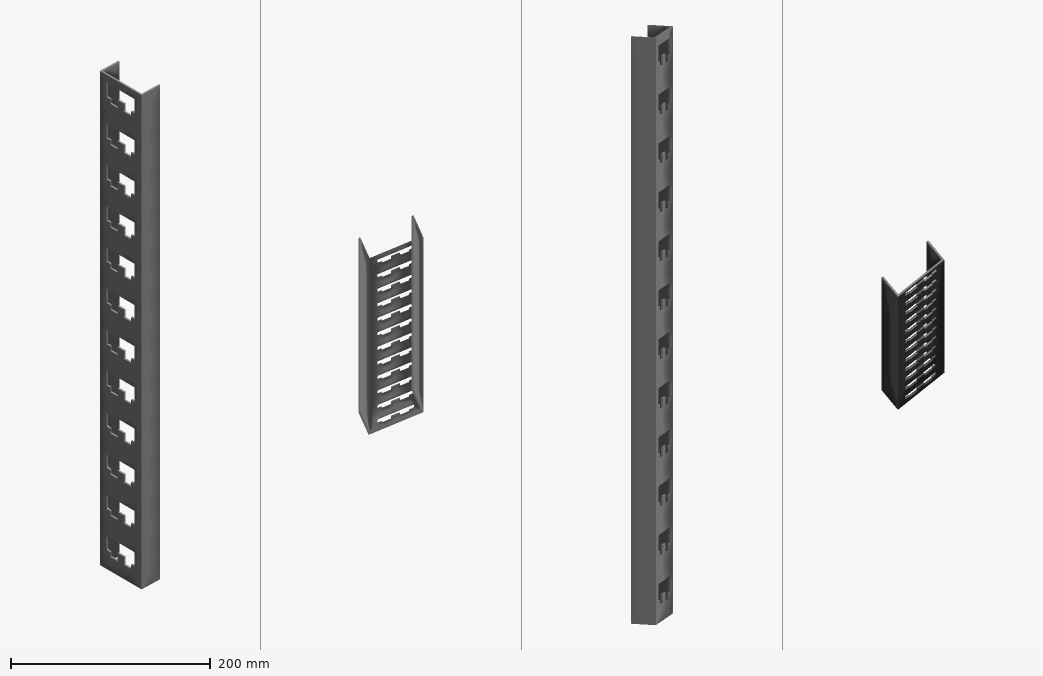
import cadquery as cq

length = 600.0
width = 60.0
depth = 26.0
sheet = 2.0

window_count = 12
rounded_count = 4
window_pitch = length / window_count
first_window_bottom = 17.5
window_height = 23.0
window_width = 40.0
corner_radius = 2.0

step_height = 5.5
slot_width = 30.0
tongue_width = 9.0
tongue_height = 9.5


def make_channel():
    """U channel along Z, with its web at -Y and its open side at +Y."""
    outer = cq.Workplane("XY").box(width, depth, length)
    inner = cq.Workplane("XY").box(width - 2 * sheet, depth, length).translate((0, sheet, 0))
    return outer.cut(inner)


def web_block(block_width, bottom, top):
    """Block through the web, centred on X, between two heights."""
    height = top - bottom
    centre = (0, (sheet - depth) / 2, (bottom + top) / 2)
    return cq.Workplane("XY").box(block_width, 2 * sheet, height).translate(centre)


def make_window(rounded):
    """Cutter for one window, with its bottom edge at Z = 0."""
    wide_part = web_block(window_width, step_height, window_height)
    if rounded:
        wide_part = wide_part.edges("|Y").fillet(corner_radius)
    narrow_part = web_block(slot_width, 0, window_height)
    tongue = web_block(tongue_width, 0, tongue_height)
    return wide_part.union(narrow_part).cut(tongue)


result = make_channel()
for index in range(window_count):
    window = make_window(rounded=index < rounded_count)
    window_bottom = -length / 2 + first_window_bottom + index * window_pitch
    result = result.cut(window.translate((0, 0, window_bottom)))